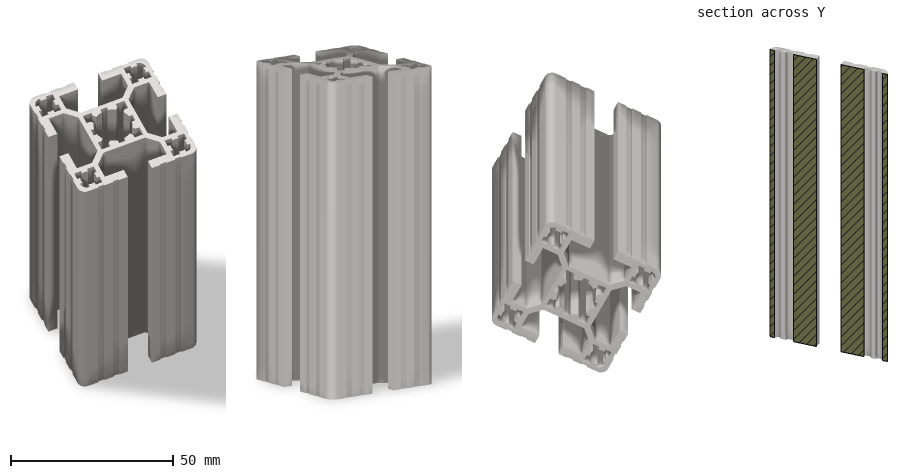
import cadquery as cq
import math

length = 100
side = 40
half_side = side / 2
corner_radius = 2.5

slot_opening = 8.2
lip_thickness = 3
corner_block = 9.5
web_thickness = 2

core_side = 16.9
core_wall = 1.4
core_bore_radius = 6
core_tooth_inner = 1.1
core_tooth_outer = 4.1
core_tooth_tip = 3.3
core_tooth_shoulder = 5.8

corner_outer_wall = 1.4
corner_cavity_side = 6.6
corner_cavity_radius = 2.1
corner_bore_radius = 2.5
corner_tooth_width = 2

groove_width = 2
groove_depth = 0.3
groove_offsets = (7, 12)

quarter_turns = (0, 90, 180, 270)


def extrude(sketch):
    return sketch.extrude(length)


def around_axis(solid):
    """Return four copies of a solid, one per quarter turn about the Z axis."""
    return [solid.rotate((0, 0, 0), (0, 0, 1), angle) for angle in quarter_turns]


def square_bar(width):
    return extrude(cq.Workplane("XY").rect(width, width))


def t_slot():
    """Slot on the +Y side: a narrow mouth opening into a chamber that tapers to the core."""
    mouth = slot_opening / 2
    lip_level = half_side - lip_thickness
    chamber = half_side - corner_block
    floor = core_side / 2
    web_offset = web_thickness / math.sqrt(2)
    right_side = [
        (mouth, half_side),
        (mouth, lip_level),
        (chamber, lip_level),
        (chamber, chamber + web_offset),
        (floor - web_offset, floor),
    ]
    left_side = [(-x, y) for x, y in reversed(right_side)]
    return extrude(cq.Workplane("XY").polyline(right_side + left_side).close())


def face_grooves():
    """Shallow grooves on the +Y face, mirrored about its middle."""
    centres = []
    for offset in groove_offsets:
        x = half_side - offset
        centres += [(x, half_side), (-x, half_side)]
    return extrude(cq.Workplane("XY").pushPoints(centres).rect(groove_width, 2 * groove_depth))


def core_tooth():
    """Tooth on the +Y wall of the core, with a concave face on the core bore and a bevelled outer flank."""
    root = core_side / 2 - core_wall / 2

    def on_bore(x):
        return (x, math.sqrt(core_bore_radius**2 - x**2))

    middle = (core_tooth_inner + core_tooth_tip) / 2
    return extrude(
        cq.Workplane("XY")
        .moveTo(core_tooth_inner, root)
        .lineTo(*on_bore(core_tooth_inner))
        .threePointArc(on_bore(middle), on_bore(core_tooth_tip))
        .lineTo(core_tooth_outer, core_tooth_shoulder)
        .lineTo(core_tooth_outer, root)
        .close()
    )


def core_cavity():
    cavity = square_bar(core_side - 2 * core_wall)
    tooth = core_tooth()
    for solid in around_axis(tooth) + around_axis(tooth.mirror("YZ")):
        cavity = cavity.cut(solid)
    return cavity


def corner_cavity():
    """Cavity of the +X +Y corner block, with one tooth per wall cut back by a round bore."""
    upright_bar = extrude(cq.Workplane("XY").rect(corner_tooth_width, corner_cavity_side))
    level_bar = upright_bar.rotate((0, 0, 0), (0, 0, 1), 90)
    teeth = upright_bar.union(level_bar).cut(extrude(cq.Workplane("XY").circle(corner_bore_radius)))
    cavity = square_bar(corner_cavity_side).edges("|Z and >X and >Y").fillet(corner_cavity_radius)
    centre = half_side - corner_outer_wall - corner_cavity_side / 2
    return cavity.cut(teeth).translate((centre, centre, 0))


result = square_bar(side).edges("|Z").fillet(corner_radius)
for feature in (t_slot(), face_grooves(), corner_cavity()):
    for solid in around_axis(feature):
        result = result.cut(solid)
result = result.cut(core_cavity())